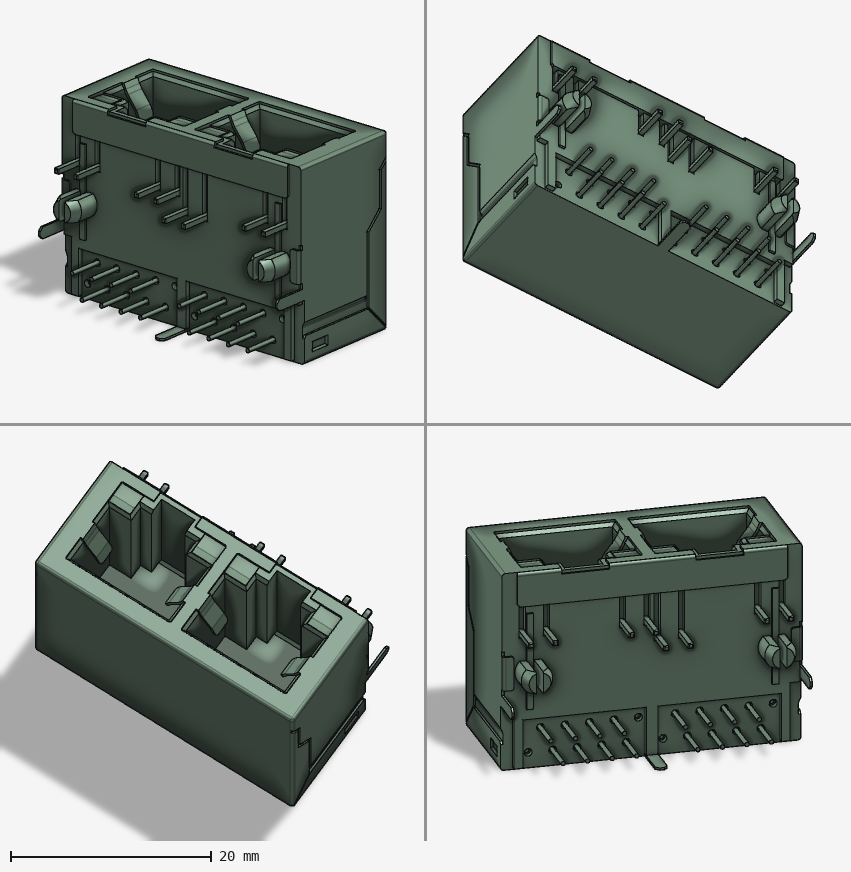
import cadquery as cq
import math


WIDTH = 31.12
HEIGHT = 21.27
BACK_Y = 13.43
TAIL_TIP_Y = -3.67
SHEET = 0.25
BEND_RADIUS = 0.35

HALF_WIDTH = WIDTH / 2
INNER_HALF_WIDTH = HALF_WIDTH - SHEET
HOUSING_TOP = HEIGHT - SHEET

LIP_HALF_WIDTH = 14.0
LIP_BOTTOM = 17.6
LIP_CHAMFER = 0.25

EDGE_SETBACK = 0.53
STRIP_OUTER_X = 14.3
STRIP_TOP = 6.45
SIDE_EDGE_TOP = 6.9

PORT_PITCH = 13.9
PORT_WIDTH = 12.6
PORT_BACK_Y = 11.3
PORT_SHELF_Y = 3.65
PORT_WINDOW_Y = 1.2
PORT_WINDOW_RADIUS = 0.2
PORT_FLOOR = 6.5
PORT_BEVEL = 0.37
KEY_WIDTH = 7.36
KEY_Y = 1.95
LATCH_WIDTH = 4.0
LATCH_Y = 0.54
LATCH_RAMP = 0.54
LATCH_RAMP_RISE = 0.25
NOTCH_WIDTH = 4.95
NOTCH_BOTTOM = 20.7
SHELF_DROP = 0.1
SHELF_RAMP_Y = 2.8

FINGER_Y = 7.55
FINGER_WIDTH = 2.14
FINGER_TIP_RADIUS = 0.4
FINGER_STEPS = [(0.3, 0), (0.25, 0.6), (0.28, 0.5), (1.1, 1.4), (0.57, 1.15)]

CONTACT_PITCH = 1.27
CONTACT_COUNT = 10
CONTACT_DIAMETER = 0.46
CONTACT_TIP_Y = -3.35
CONTACT_HOLE = 0.8
CONTACT_HOLE_DEPTH = 0.6
CONTACT_BORE_DEPTH = 1.0
CONTACT_LOW_Z = 1.66
CONTACT_HIGH_Z = CONTACT_LOW_Z + 2 * CONTACT_PITCH
CONTACT_GROUP_PITCH = 11 * CONTACT_PITCH
POCKET_CENTER_X = CONTACT_GROUP_PITCH / 2
POCKET_WIDTH = 12.8
POCKET_TOP = 5.4

LED_HIGH_Z = 14.63
LED_LOW_Z = 12.85
LED_HIGH_X = [-13.46, -10.94, -3.06, -0.53, 10.94, 13.46]
LED_LOW_X = [0.53, 3.06]
LED_PIN = 0.55
LED_GROOVE_WIDTH = 0.63
LED_GROOVE_DEPTH = 0.65
LED_GROOVE_OVERRUN = 0.45
LED_TIP_Y = -3.43
LED_TIP_CHAMFER = 0.1

RIB_X = 12.72
RIB_WIDTH = 0.67
RIB_BOTTOM = 6.55
RIB_TOP = 16.8
PEG_X = 12.61
PEG_Z = 10.55
PEG_DIAMETER = 3.25
PEG_HEIGHT = 2.36
PEG_TIP_Y = -3.52
PEG_TAPER_LENGTH = 1.1
PEG_TAPER_INSET = 0.5
PEG_SLOT = 0.72

TAIL_WIDTH = 1.27
TAIL_CHAMFER = 0.4
SIDE_TAIL_BOTTOM = SIDE_EDGE_TOP
SIDE_TAIL_TOP = SIDE_TAIL_BOTTOM + TAIL_WIDTH
TAB_BOTTOM = 8.77
TAB_TOP = 12.37
TAB_INNER_X = 14.37
TAB_CORNER = 0.3
RELIEF_TOP = 12.87
RELIEF_DEPTH = 0.21

SEAM_GAP = 0.3
SEAM_HIGH_Y = 12.15
SEAM_LOW_Y = 10.21
SEAM_HIGH_TOP = 17.46
SEAM_HIGH_BOTTOM = 13.29
FLAP_TOP = 3.08
FLAP_CORNER = 0.3
PANEL_EDGE = 3.9
PANEL_BEVEL_KNEE = 4.14
PANEL_BEVEL_TOP = 4.54
PANEL_BEVEL_DEPTH = 0.2

SNAP_Y = 2.98
SNAP_Z = 1.6
SNAP_LENGTH = 2.4
SNAP_HEIGHT = 1.1
SNAP_TAPER = 35

OVERLAP = 0.25


def block(x0, x1, y0, y1, z0, z1):
    """Axis-aligned box between two corners."""
    return cq.Workplane("XY").box(x1 - x0, y1 - y0, z1 - z0, centered=False).translate((x0, y0, z0))


def both_sides(shape):
    """The shape together with its mirror image across X = 0."""
    return shape.union(shape.mirror("YZ"))


def make_body():
    """Shell block with rounded bends, plus the lip folded over its board side."""
    body = block(-HALF_WIDTH, HALF_WIDTH, 0, BACK_Y, 0, HEIGHT)
    bends = body.edges("|Y").vals() + body.edges(">Y").vals()
    body = body.newObject(bends).fillet(BEND_RADIUS)
    lip = block(-LIP_HALF_WIDTH, LIP_HALF_WIDTH, -SHEET, OVERLAP, LIP_BOTTOM, HEIGHT)
    lip = lip.edges("|Y and <Z").chamfer(LIP_CHAMFER)
    lip = lip.edges("<Y and >Z").fillet(BEND_RADIUS)
    return body.union(lip)


def closed_end_recesses():
    """Steps and contact pockets at the closed end of the board side."""
    edge = block(-HALF_WIDTH, HALF_WIDTH, 0, EDGE_SETBACK, 0, SHEET)
    corner = block(STRIP_OUTER_X, HALF_WIDTH, 0, EDGE_SETBACK, 0, STRIP_TOP)
    side_edge = block(INNER_HALF_WIDTH, HALF_WIDTH, 0, EDGE_SETBACK, 0, SIDE_EDGE_TOP)
    pocket_start = POCKET_CENTER_X - POCKET_WIDTH / 2
    pocket = block(pocket_start, pocket_start + POCKET_WIDTH, 0, EDGE_SETBACK, 0, POCKET_TOP)
    return edge.union(both_sides(corner.union(side_edge).union(pocket)))


def contact_places():
    """(x, z, has_pin) of each contact hole; the two end holes of a group stay empty."""
    places = []
    for group_x in (-POCKET_CENTER_X, POCKET_CENTER_X):
        for i in range(CONTACT_COUNT):
            x = group_x + (i - (CONTACT_COUNT - 1) / 2) * CONTACT_PITCH
            z = CONTACT_LOW_Z if i % 2 == 0 else CONTACT_HIGH_Z
            places.append((x, z, 0 < i < CONTACT_COUNT - 1))
    return places


def rods_along_y(places, diameter, y0, y1):
    """Round rods from y0 to y1 centred on the given (x, z) places."""
    plane = cq.Workplane("XZ", origin=(0, y1, 0))
    return plane.pushPoints(places).circle(diameter / 2).extrude(y1 - y0)


def port_cut(x):
    """Plug opening of one port: sheet window and notch, cavity, key steps and latch slot."""
    left = x - PORT_WIDTH / 2
    right = x + PORT_WIDTH / 2
    window = block(left, right, PORT_WINDOW_Y, PORT_BACK_Y, HOUSING_TOP, HEIGHT)
    window = window.edges("|Z").fillet(PORT_WINDOW_RADIUS)
    half_notch = NOTCH_WIDTH / 2
    notch = block(x - half_notch, x + half_notch, -SHEET, PORT_SHELF_Y, HOUSING_TOP, HEIGHT)
    lip_notch = block(x - half_notch, x + half_notch, -SHEET, 0, NOTCH_BOTTOM, HEIGHT)
    cut = window.union(notch).union(lip_notch)

    steps = [(PORT_WIDTH, PORT_SHELF_Y), (KEY_WIDTH, KEY_Y)]
    for width, front in steps:
        depth = PORT_BACK_Y - front
        mouth = (
            cq.Workplane("XY", origin=(x, front + depth / 2, HOUSING_TOP))
            .rect(width, depth)
            .extrude(-PORT_BEVEL, taper=45)
        )
        half = width / 2 - PORT_BEVEL
        cavity = block(
            x - half, x + half, front + PORT_BEVEL, PORT_BACK_Y - PORT_BEVEL, PORT_FLOOR, HOUSING_TOP
        )
        cut = cut.union(mouth).union(cavity)

    latch = (
        cq.Workplane("YZ", origin=(x - LATCH_WIDTH / 2, 0, 0))
        .moveTo(LATCH_Y, HOUSING_TOP)
        .lineTo(LATCH_Y, PORT_FLOOR - LATCH_RAMP_RISE)
        .lineTo(LATCH_Y + LATCH_RAMP, PORT_FLOOR)
        .lineTo(PORT_SHELF_Y, PORT_FLOOR)
        .lineTo(PORT_SHELF_Y, HOUSING_TOP)
        .close()
        .extrude(LATCH_WIDTH)
    )
    cut = cut.union(latch)

    shelf_width = (PORT_WIDTH - KEY_WIDTH) / 2
    for start in (left, right - shelf_width):
        shelf = (
            cq.Workplane("YZ", origin=(start, 0, 0))
            .moveTo(PORT_WINDOW_Y, HOUSING_TOP)
            .lineTo(PORT_WINDOW_Y, HOUSING_TOP - SHELF_DROP)
            .lineTo(SHELF_RAMP_Y, HOUSING_TOP - SHELF_DROP)
            .lineTo(PORT_SHELF_Y, HOUSING_TOP - 2 * SHELF_DROP)
            .lineTo(PORT_SHELF_Y, HOUSING_TOP)
            .close()
            .extrude(shelf_width)
        )
        cut = cut.union(shelf)
    return cut


def spring_finger():
    """Rounded sheet finger bent down into a port from the -X edge of its window, starting at X = 0."""
    x = 0
    z = HEIGHT
    upper = [(-OVERLAP, z), (x, z)]
    for step_x, step_z in FINGER_STEPS:
        x += step_x
        z -= step_z
        upper.append((x, z))
    lower = [(px - SHEET, pz - SHEET / 2) for px, pz in reversed(upper[1:])]
    finger = (
        cq.Workplane("XZ", origin=(0, FINGER_Y + FINGER_WIDTH / 2, 0))
        .polyline(upper + lower)
        .close()
        .extrude(FINGER_WIDTH)
    )
    tip_corners = cq.selectors.BoxSelector(
        (x - 1.5 * SHEET, 0, z - SHEET), (x + SHEET / 2, BACK_Y, z + SHEET / 2)
    )
    return finger.edges(tip_corners).edges("not |Y").fillet(FINGER_TIP_RADIUS)


def spring_fingers():
    """The fingers on both side walls of both ports."""
    finger = spring_finger()
    outer = finger.translate((-(PORT_PITCH + PORT_WIDTH) / 2, 0, 0))
    inner = finger.translate(((PORT_PITCH - PORT_WIDTH) / 2, 0, 0))
    return both_sides(outer.union(inner))


def led_groove(x, z):
    """Groove in the board side from below an indicator pin up to the lip."""
    half = LED_GROOVE_WIDTH / 2
    return block(x - half, x + half, 0, LED_GROOVE_DEPTH, z - LED_GROOVE_OVERRUN, LIP_BOTTOM)


def led_pin(x, z):
    """Square pin standing out of the groove floor, with a chamfered tip."""
    half = LED_PIN / 2
    pin = block(x - half, x + half, LED_TIP_Y, LED_GROOVE_DEPTH + OVERLAP, z - half, z + half)
    return pin.faces("<Y").chamfer(LED_TIP_CHAMFER)


def split_peg():
    """Board peg: flattened cylinder with a tapered tip and a slot along Z."""
    peg = (
        cq.Workplane("XZ", origin=(PEG_X, 0, PEG_Z))
        .circle(PEG_DIAMETER / 2)
        .extrude(-PEG_TIP_Y)
        .faces("<Y")
        .chamfer(PEG_TAPER_LENGTH, PEG_TAPER_INSET)
    )
    radius = PEG_DIAMETER / 2
    half_height = PEG_HEIGHT / 2
    flats = block(
        PEG_X - radius, PEG_X + radius, PEG_TIP_Y, 0, PEG_Z - half_height, PEG_Z + half_height
    )
    half_slot = PEG_SLOT / 2
    slot = block(PEG_X - half_slot, PEG_X + half_slot, PEG_TIP_Y, 0, PEG_Z - radius, PEG_Z + radius)
    return peg.intersect(flats).cut(slot)


def rib():
    """Standoff rib running along Z past the +X peg."""
    return block(RIB_X - RIB_WIDTH / 2, RIB_X + RIB_WIDTH / 2, -SHEET, 0, RIB_BOTTOM, RIB_TOP)


def side_tail():
    """Ground tail continuing the +X side wall."""
    tail = block(
        INNER_HALF_WIDTH, HALF_WIDTH, TAIL_TIP_Y, EDGE_SETBACK, SIDE_TAIL_BOTTOM, SIDE_TAIL_TOP
    )
    return tail.edges("|X and <Y").chamfer(TAIL_CHAMFER)


def center_tail():
    """Ground tail continuing the closed-end sheet."""
    tail = block(-TAIL_WIDTH / 2, TAIL_WIDTH / 2, TAIL_TIP_Y, EDGE_SETBACK, 0, SHEET)
    return tail.edges("|Z and <Y").chamfer(TAIL_CHAMFER)


def side_tab():
    """Tab folded from the +X side wall over the board side."""
    tab = block(TAB_INNER_X, HALF_WIDTH, -SHEET, EDGE_SETBACK, TAB_BOTTOM, TAB_TOP)
    tab = tab.edges("|Y and <X").fillet(TAB_CORNER)
    return tab.edges("<Y and >X").fillet(BEND_RADIUS)


def tab_reliefs():
    """Relief cuts in the +X wall sheet above and below the folded tab."""
    below = block(INNER_HALF_WIDTH, HALF_WIDTH, 0, RELIEF_DEPTH, SIDE_TAIL_TOP, TAB_BOTTOM)
    above = block(INNER_HALF_WIDTH, HALF_WIDTH, 0, RELIEF_DEPTH, TAB_TOP, RELIEF_TOP)
    return below.union(above)


def side_seams():
    """Gaps between the panels of the +X side wall, as deep as the sheet."""
    mitre_shift = SEAM_GAP * math.tan(math.radians(22.5))
    rise = BACK_Y - SEAM_HIGH_Y
    panel_side = [
        (BACK_Y, SEAM_HIGH_TOP + rise),
        (SEAM_HIGH_Y, SEAM_HIGH_TOP),
        (SEAM_HIGH_Y, SEAM_HIGH_BOTTOM),
        (SEAM_LOW_Y, SEAM_HIGH_BOTTOM - (SEAM_HIGH_Y - SEAM_LOW_Y)),
        (SEAM_LOW_Y, PANEL_EDGE),
        (0, PANEL_EDGE),
    ]
    back_side = [(y + SEAM_GAP, z - mitre_shift) for y, z in reversed(panel_side[:4])]
    corner_y = SEAM_LOW_Y + SEAM_GAP
    flap_corner_y = SEAM_LOW_Y + SEAM_GAP / 2
    flap_run = BACK_Y - flap_corner_y
    flap_side = [
        (0, FLAP_TOP - EDGE_SETBACK - FLAP_CORNER),
        (EDGE_SETBACK, FLAP_TOP - FLAP_CORNER),
        (EDGE_SETBACK + FLAP_CORNER, FLAP_TOP),
        (flap_corner_y, FLAP_TOP),
        (BACK_Y, FLAP_TOP - flap_run),
        (BACK_Y, FLAP_TOP + mitre_shift - flap_run + SEAM_GAP / 2),
        (corner_y, FLAP_TOP + mitre_shift),
    ]
    wall = cq.Workplane("YZ", origin=(INNER_HALF_WIDTH, 0, 0))
    seams = wall.polyline(panel_side + flap_side + back_side).close().extrude(SHEET)
    bevel = (
        cq.Workplane("XZ", origin=(0, SEAM_LOW_Y, 0))
        .moveTo(INNER_HALF_WIDTH, PANEL_EDGE)
        .lineTo(HALF_WIDTH - PANEL_BEVEL_DEPTH, PANEL_BEVEL_KNEE)
        .lineTo(HALF_WIDTH, PANEL_BEVEL_TOP)
        .lineTo(HALF_WIDTH, PANEL_EDGE)
        .close()
        .extrude(SEAM_LOW_Y)
    )
    return seams.union(bevel)


def snap_window():
    """Tapered dent in the +X side flap."""
    return (
        cq.Workplane("YZ", origin=(HALF_WIDTH, SNAP_Y, SNAP_Z))
        .rect(SNAP_LENGTH, SNAP_HEIGHT)
        .extrude(-SHEET, taper=SNAP_TAPER)
    )


led_places = [(x, LED_HIGH_Z) for x in LED_HIGH_X] + [(x, LED_LOW_Z) for x in LED_LOW_X]
contact_holes = [(x, z) for x, z, has_pin in contact_places()]
contact_pins = [(x, z) for x, z, has_pin in contact_places() if has_pin]
empty_holes = [(x, z) for x, z, has_pin in contact_places() if not has_pin]
hole_bottom_y = EDGE_SETBACK + CONTACT_HOLE_DEPTH

result = make_body()
result = result.cut(closed_end_recesses())
result = result.cut(rods_along_y(contact_holes, CONTACT_HOLE, 0, hole_bottom_y))
empty_bottom_y = hole_bottom_y + CONTACT_BORE_DEPTH
result = result.cut(rods_along_y(empty_holes, CONTACT_DIAMETER, 0, empty_bottom_y))
for side in (-1, 1):
    result = result.cut(port_cut(side * PORT_PITCH / 2))
result = result.cut(both_sides(tab_reliefs().union(side_seams()).union(snap_window())))
for x, z in led_places:
    result = result.cut(led_groove(x, z))

result = result.union(spring_fingers())
result = result.union(rods_along_y(contact_pins, CONTACT_DIAMETER, CONTACT_TIP_Y, hole_bottom_y + OVERLAP))
for x, z in led_places:
    result = result.union(led_pin(x, z))
result = result.union(both_sides(rib()))
result = result.union(both_sides(split_peg()))
result = result.union(both_sides(side_tail()))
result = result.union(both_sides(side_tab()))
result = result.union(center_tail())